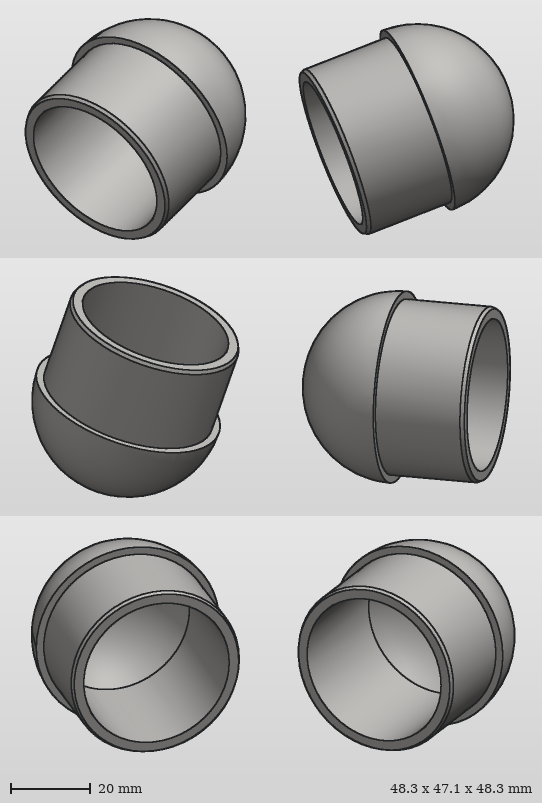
import cadquery as cq

dome_radius = 24.15
spigot_radius = 22.15
spigot_length = 23.0
wall = 3.0
lead_in_length = 1.0
lead_in_depth = 0.5

bore_radius = spigot_radius - wall
cavity_radius = dome_radius - wall


def ball(radius):
    """Full sphere centred on the origin."""
    return cq.Workplane("XY").sphere(radius)


def rod(radius, length):
    """Cylinder from the plane Y = 0 towards -Y, or +Y if the length is negative."""
    return cq.Workplane("XZ").circle(radius).extrude(length)


def bore_side(solid):
    """Keep only what lies within the bore's radius, on the +Y side."""
    return solid.intersect(rod(bore_radius, -cavity_radius))


front_half = cq.Workplane("XZ").rect(2 * dome_radius, 2 * dome_radius).extrude(-dome_radius)
dome = ball(dome_radius).intersect(front_half)

spigot = rod(spigot_radius, spigot_length)
spigot = spigot.faces("<Y").edges().chamfer(lead_in_length, lead_in_depth)

cavity = rod(bore_radius, spigot_length).union(bore_side(ball(cavity_radius)))

result = dome.union(spigot).cut(cavity)